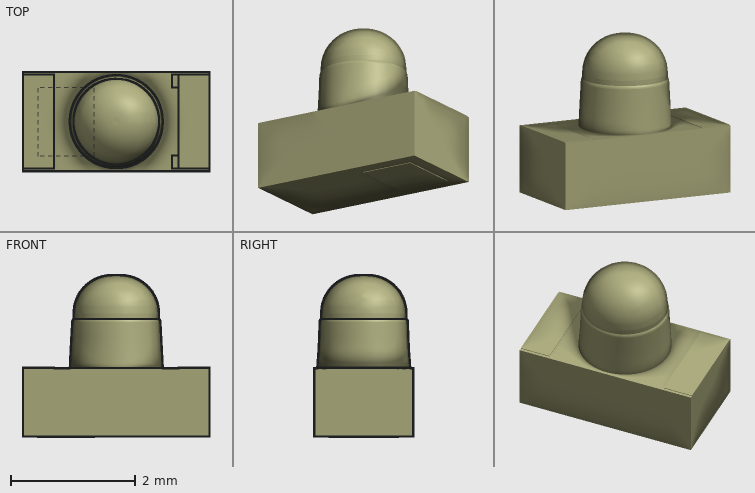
import cadquery as cq
import math

LENGTH = 3.0
WIDTH = 1.6
HEIGHT = 1.1

LENS_HEIGHT = 1.5
LENS_BASE_RADIUS = 0.75
SKIRT_DRAFT = 3.0
SKIRT_HEIGHT = 0.74
SHOULDER_RADIUS = 0.08
DOME_RADIUS = 1.38 / 2
DOME_TOP_RADIUS = 0.065

PAD_LENGTH = 0.5
PAD_WIDTH = 1.51
FILM_THICKNESS = 0.01

INLAY_LENGTH = 0.1
INLAY_WIDTH = 0.21

MARK_LENGTH = 0.9
MARK_WIDTH = 1.1
MARK_CENTER_X = -0.805

PAD_CENTER_X = (LENGTH - PAD_LENGTH) / 2
INLAY_CENTER_X = LENGTH / 2 - PAD_LENGTH - INLAY_LENGTH / 2
INLAY_CENTER_Y = (PAD_WIDTH - INLAY_WIDTH) / 2


def plate(length, width, thickness, x, y, bottom_z):
    """Rectangular plate centred at (x, y) with its underside at bottom_z."""
    return cq.Workplane("XY", origin=(x, y, bottom_z)).rect(length, width).extrude(thickness)


def make_inlay(side):
    """Thin inlay sunk into the top face, on the +Y or -Y side."""
    bottom_z = HEIGHT - FILM_THICKNESS
    return plate(INLAY_LENGTH, INLAY_WIDTH, FILM_THICKNESS, INLAY_CENTER_X, side * INLAY_CENTER_Y, bottom_z)


def make_housing(inlays):
    """Plain block with a recess for every inlay."""
    block = plate(LENGTH, WIDTH, HEIGHT, 0, 0, 0)
    for inlay in inlays:
        block = block.cut(inlay)
    return block


def make_lens():
    """Drafted skirt, rounded shoulder, short cylinder and dome, revolved about Z."""
    draft = math.radians(SKIRT_DRAFT)
    skirt_top_radius = LENS_BASE_RADIUS - SKIRT_HEIGHT * math.tan(draft)

    shoulder_x = skirt_top_radius - SHOULDER_RADIUS * math.cos(draft)
    shoulder_z = SKIRT_HEIGHT - SHOULDER_RADIUS * math.sin(draft)
    end_angle = math.acos((DOME_RADIUS - shoulder_x) / SHOULDER_RADIUS)
    mid_angle = (draft + end_angle) / 2

    def shoulder_point(angle):
        return (
            shoulder_x + SHOULDER_RADIUS * math.cos(angle),
            shoulder_z + SHOULDER_RADIUS * math.sin(angle),
        )

    dome_round = DOME_RADIUS - DOME_TOP_RADIUS
    dome_start_z = LENS_HEIGHT - dome_round
    dome_mid = (
        DOME_TOP_RADIUS + dome_round * math.cos(math.pi / 4),
        dome_start_z + dome_round * math.sin(math.pi / 4),
    )

    return (
        cq.Workplane("XZ", origin=(0, 0, HEIGHT))
        .lineTo(LENS_BASE_RADIUS, 0)
        .lineTo(skirt_top_radius, SKIRT_HEIGHT)
        .threePointArc(shoulder_point(mid_angle), shoulder_point(end_angle))
        .lineTo(DOME_RADIUS, dome_start_z)
        .threePointArc(dome_mid, (DOME_TOP_RADIUS, LENS_HEIGHT))
        .lineTo(0, LENS_HEIGHT)
        .close()
        .revolve(360, (0, 0, 0), (0, 1, 0))
    )


def make_pad(side):
    """Contact pad on the top face, at the +X or -X end."""
    return plate(PAD_LENGTH, PAD_WIDTH, FILM_THICKNESS, side * PAD_CENTER_X, 0, HEIGHT)


def make_mark():
    """Marking film on the underside, towards -X."""
    return plate(MARK_LENGTH, MARK_WIDTH, FILM_THICKNESS, MARK_CENTER_X, 0, -FILM_THICKNESS)


SIDES = (-1, 1)
inlays = [make_inlay(side) for side in SIDES]
pads = [make_pad(side) for side in SIDES]
housing = make_housing(inlays)
lens = make_lens()
mark = make_mark()

result = cq.Compound.makeCompound(
    [
        housing.val(),
        lens.val(),
        *[pad.val() for pad in pads],
        *[inlay.val() for inlay in inlays],
        mark.val(),
    ]
)